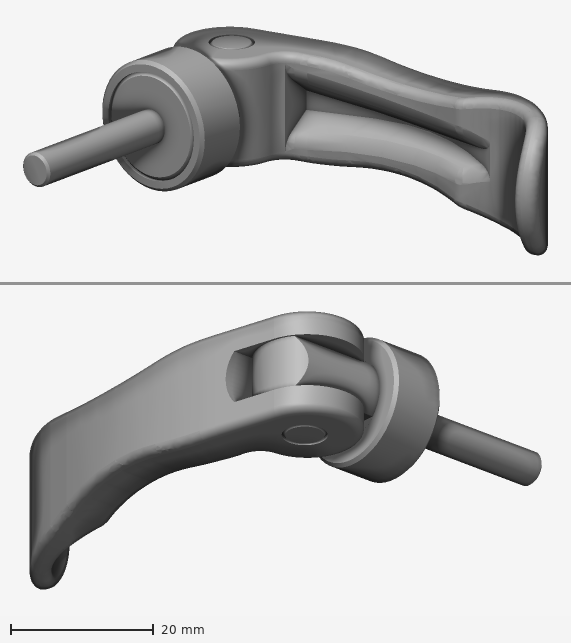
import cadquery as cq
import math


overall_length = 72.2
blank_half = 14.45

collar_radius = 9.5
collar_top = -8.75
collar_height = 8.5
collar_bottom = collar_top - collar_height
collar_chamfer = 0.5

shank_radius = 6.0
shank_half_thickness = 4.0
crown_radius = 7.95
crown_top = 7.2
flange_radius = 7.95
flange_height = collar_height / 2
flange_chamfer = 0.6
shaft_radius = 2.5
shaft_end = -42.1
shaft_chamfer = 0.35
pin_radius = 3.25
pin_chamfer = 0.5

hub_radius = 8.0
hub_offset = -0.4
hub_half_width = 8.0
slot_clearance = 0.2
slot_end_radius = shank_radius + slot_clearance

back_slope = 0.24
back_line_end_x = 8.0
back_knots = [(40.35, 9.25), (45.4, 7.9), (55.95, 2.6)]
tip_outer = (63.0, -7.7)
tip_inner = (59.6, -8.8)
tip_overrun = (0.7, -2.9)
pad_middle = (55.6, -1.15)
pad_start = (47.65, 2.45)
ridge = (40.65, 1.6)
arch_middle = (26.35, 3.7)
arch_start = (12.3, 2.0)
hub_joint_angle = 0.2
ridge_fillet = 2.9
hub_joint_fillet = 2.9

waist_x = 27.4
waist_half_width = 6.7
paddle_width = 20.0
paddle_half_width = paddle_width / 2
neck_start = (10.8, hub_half_width)
neck_knots = [
    (19.1, 7.4),
    (waist_x, waist_half_width),
    (41.15, 8.3),
    (54.9, paddle_half_width),
]
tip_round_length = 8.7
edge_fillet = 1.3

groove_stations = [
    (9.0, 5.55, 1.45),
    (17.3, 6.8, 0.8),
    (waist_x, 7.2, 0.15),
    (36.1, 5.9, 0.3),
    (46.9, 2.0, 1.9),
]
groove_wall_slope = 0.78
groove_mouth_fillet = 2.75
groove_mouth_half = 2.9


def y_cylinder(radius, bottom, top):
    """Cylinder on the Y axis."""
    return cq.Workplane("XZ", origin=(0, bottom, 0)).circle(radius).extrude(bottom - top)


def z_cylinder(radius, half_height):
    """Cylinder on the Z axis."""
    return cq.Workplane("XY").circle(radius).extrude(half_height, both=True)


def hub_point(angle):
    """Point (x, y) on the hub rim."""
    return (hub_radius * math.cos(angle), hub_offset + hub_radius * math.sin(angle))


def nearest_edge(point):
    """Selector for the edge along Z through the point (x, y)."""
    return cq.selectors.NearestToPointSelector((point[0], point[1], 0))


def make_side_profile():
    """Hub, arched arm and hooked tip, extruded along the pivot."""
    tangent_angle = math.pi / 2 + math.atan(back_slope)
    tangent_point = hub_point(tangent_angle)
    line_run = back_line_end_x - tangent_point[0]
    joint = hub_point(hub_joint_angle)
    profile = (
        cq.Workplane("XY", origin=(0, 0, -blank_half))
        .moveTo(*tangent_point)
        .line(line_run, line_run * back_slope)
    )
    for knot in back_knots + [tip_outer]:
        profile = profile.tangentArcPoint(knot, relative=False)
    solid = (
        profile.lineTo(tip_outer[0] + tip_overrun[0], tip_outer[1] + tip_overrun[1])
        .lineTo(tip_inner[0] + tip_overrun[0], tip_inner[1] + tip_overrun[1])
        .lineTo(*tip_inner)
        .threePointArc(pad_middle, pad_start)
        .tangentArcPoint(ridge, relative=False)
        .threePointArc(arch_middle, arch_start)
        .lineTo(*joint)
        .threePointArc(hub_point(-math.pi / 2), tangent_point)
        .close()
        .extrude(2 * blank_half)
    )
    solid = solid.edges(nearest_edge(ridge)).fillet(ridge_fillet)
    return solid.edges(nearest_edge(joint)).fillet(hub_joint_fillet)


def make_plan_outline():
    """Waisted outline of the arm, extruded along Y."""
    outline = (
        cq.Workplane("XZ", origin=(0, blank_half, 0))
        .moveTo(-blank_half, 0)
        .lineTo(-blank_half, hub_half_width)
        .lineTo(*neck_start)
    )
    for knot in neck_knots:
        outline = outline.tangentArcPoint(knot, relative=False)
    half = (
        outline.lineTo(overall_length, paddle_half_width)
        .lineTo(overall_length, 0)
        .close()
        .extrude(2 * blank_half)
    )
    return half.union(half.mirror("XY")).clean()


def make_tip_outline():
    """Half-elliptical end of the paddle, extruded along the end face of the tip."""
    face_x = tip_outer[0] - tip_inner[0]
    face_y = tip_outer[1] - tip_inner[1]
    plane = cq.Plane(origin=(*tip_outer, 0), xDir=(face_y, -face_x, 0), normal=(face_x, face_y, 0))
    start = cq.Workplane(plane).workplane(offset=-overall_length)
    depth = 2 * overall_length
    round_end = start.center(-tip_round_length, 0).ellipse(tip_round_length, paddle_half_width).extrude(depth)
    body = (
        start.center(-tip_round_length - overall_length / 2, 0)
        .rect(overall_length, paddle_width)
        .extrude(depth)
    )
    return round_end.union(body)


def make_groove():
    """V groove lofted along the arm, its walls opening towards -Y."""
    sections = []
    for x, floor_y, floor_half in groove_stations:
        mouth_half = floor_half + groove_wall_slope * floor_y
        corners = [
            (x, floor_y, floor_half),
            (x, 0, mouth_half),
            (x, 0, -mouth_half),
            (x, floor_y, -floor_half),
        ]
        sections.append(cq.Wire.makePolygon([cq.Vector(*c) for c in corners], close=True))
    return cq.Workplane(cq.Solid.makeLoft(sections))


def make_slot():
    """Fork slot, rounded at its blind end about the stud axis and open towards -X."""
    slab = cq.Workplane("XY").box(4 * blank_half, 4 * blank_half, 2 * shank_half_thickness)
    opening = cq.Workplane("XY").box(blank_half, 2 * blank_half, blank_half)
    opening = opening.translate((-blank_half / 2, 0, 0))
    return y_cylinder(slot_end_radius, -blank_half, blank_half).union(opening).intersect(slab)


def round_groove_mouth(arm):
    """Round the two long edges where the groove walls meet the underside."""
    for side in (1, -1):
        mouth_edge = cq.selectors.NearestToPointSelector((waist_x, arch_middle[1], side * groove_mouth_half))
        arm = arm.edges(mouth_edge).fillet(groove_mouth_fillet)
    return arm


def make_lever():
    """Forked lever: a rounded arm and hub with a groove, a slot and the pivot hole."""
    arm = make_side_profile().intersect(make_plan_outline()).intersect(make_tip_outline())
    hub_bottom = cq.selectors.BoxSelector(
        (-hub_radius, -2 * hub_radius, -blank_half),
        (hub_radius, 0, blank_half),
    )
    arm = arm.edges("%CIRCLE").edges(hub_bottom).fillet(edge_fillet)
    arm = round_groove_mouth(arm.cut(make_groove()))
    return arm.cut(make_slot()).cut(z_cylinder(pin_radius, blank_half))


def make_collar():
    """Chamfered ring, bored for the shank and counterbored from below for the flange."""
    ring = y_cylinder(collar_radius, collar_bottom, collar_top).edges().chamfer(collar_chamfer)
    seat = y_cylinder(flange_radius, collar_bottom, collar_bottom + flange_height)
    return ring.cut(y_cylinder(shank_radius, collar_bottom, collar_top)).cut(seat)


def make_shank():
    """Shank with two flats that fills the fork slot, its end rounded about the pivot direction."""
    slab = cq.Workplane("XY").box(4 * blank_half, 4 * blank_half, 2 * shank_half_thickness)
    crown = z_cylinder(crown_radius, blank_half).translate((0, crown_top - crown_radius, 0))
    below_pivot = cq.Workplane("XY").box(2 * blank_half, 2 * blank_half, 2 * blank_half)
    below_pivot = below_pivot.translate((0, -blank_half, 0))
    flat_sided = y_cylinder(shank_radius, collar_top, blank_half).intersect(slab)
    round_root = y_cylinder(shank_radius, collar_bottom, collar_top)
    return flat_sided.intersect(crown.union(below_pivot)).union(round_root)


def make_stud():
    """Shank, flange, plain shaft and cross pin in one piece."""
    flange = y_cylinder(flange_radius, collar_bottom, collar_bottom + flange_height)
    flange = flange.faces("<Y").chamfer(flange_chamfer)
    shaft = y_cylinder(shaft_radius, shaft_end, collar_bottom).faces("<Y").chamfer(shaft_chamfer)
    pin = z_cylinder(pin_radius, hub_half_width).faces("|Z").chamfer(pin_chamfer)
    return make_shank().union(flange).union(shaft).union(pin)


lever = make_lever()
collar = make_collar()
stud = make_stud()
result = cq.Compound.makeCompound([lever.val(), collar.val(), stud.val()])